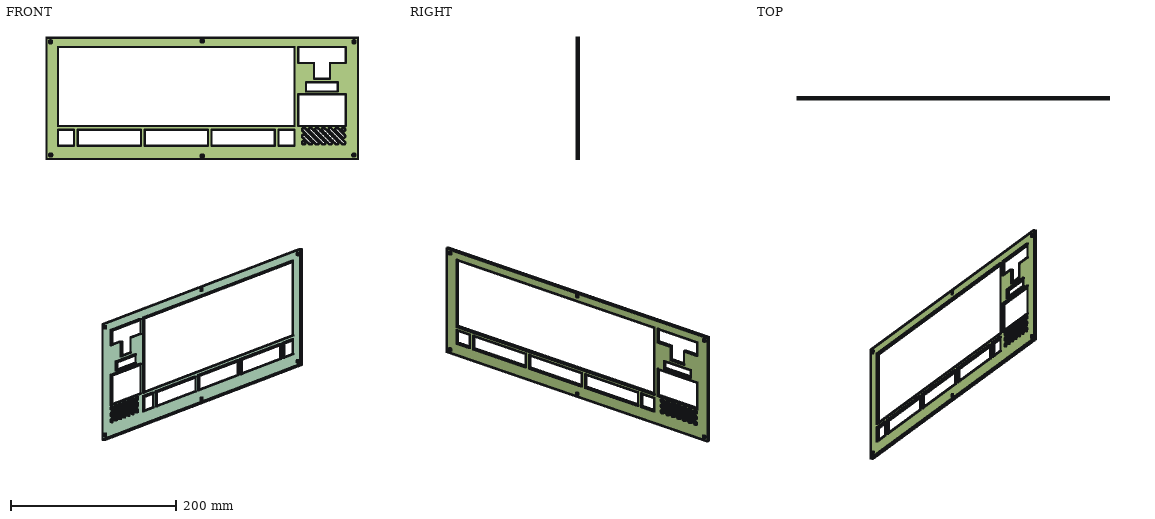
import cadquery as cq
import math

plate_width = 377.0
plate_height = 147.0
plate_thickness = 3.0

key_unit = 19.05
block_gap = key_unit / 4

main_columns = 15
main_rows = 5
left_margin = 14.25
top_margin = 11.4
main_left = left_margin
main_top = plate_height - top_margin
main_width = main_columns * key_unit
main_height = main_rows * key_unit
main_bottom = main_top - main_height

bottom_row_units = [1, 4, 4, 4, 1]
bottom_row_top = main_bottom - block_gap

column_left = main_left + main_width + block_gap
column_keys = 3
column_width = column_keys * key_unit
column_center = column_left + column_width / 2
tee_height = 2 * key_unit
navigation_height = 2 * key_unit
display_width = 2 * key_unit
display_height = 11.0
display_gap = 4.5
display_top = main_top - tee_height - display_gap

vent_width = 4.0
vent_pitch = 8.0
vent_angle = -45
vent_columns = 7
vent_rows = 3
vent_side_gap = 4.6
vent_top_gap = 2.5
vent_left = column_left + vent_side_gap + vent_width / 2
vent_top = main_bottom - vent_top_gap - vent_width / 2

mount_diameter = 3.4
corner_inset = 5.0
middle_inset = 4.0


def cutter(profile):
    """Extrude a closed profile through the full plate thickness (towards +Y)."""
    return profile.extrude(-plate_thickness)


def opening(left, top, width, height):
    """Rectangular cutter given by its upper left corner."""
    center = (left + width / 2, top - height / 2)
    return cutter(cq.Workplane("XZ").center(*center).rect(width, height))


def round_hole(x, z, diameter):
    return cutter(cq.Workplane("XZ").center(x, z).circle(diameter / 2))


def cut_key_openings(plate):
    plate = plate.cut(opening(main_left, main_top, main_width, main_height))
    left = main_left
    for units in bottom_row_units:
        width = units * key_unit
        plate = plate.cut(opening(left, bottom_row_top, width, key_unit))
        left += width + block_gap
    return plate


def cut_right_column(plate):
    plate = plate.cut(opening(column_left, main_top, column_width, key_unit))
    plate = plate.cut(opening(column_center - key_unit / 2, main_top, key_unit, tee_height))
    plate = plate.cut(opening(column_center - display_width / 2, display_top, display_width, display_height))
    return plate.cut(opening(column_left, main_bottom + navigation_height, column_width, navigation_height))


def vent_slot(column, row):
    """Slot running down to the right from a grid point to the grid border."""
    steps = min(vent_columns - 1 - column, vent_rows - 1 - row)
    x = vent_left + column * vent_pitch
    z = vent_top - row * vent_pitch
    if steps == 0:
        return round_hole(x, z, vent_width)
    reach = steps * vent_pitch
    slot_length = reach * math.sqrt(2) + vent_width
    middle = cq.Workplane("XZ").center(x + reach / 2, z - reach / 2)
    return cutter(middle.slot2D(slot_length, vent_width, vent_angle))


def cut_vents(plate):
    top_starts = [(column, 0) for column in range(vent_columns)]
    left_starts = [(0, row) for row in range(1, vent_rows)]
    for column, row in top_starts + left_starts:
        plate = plate.cut(vent_slot(column, row))
    return plate


def cut_mounting_holes(plate):
    columns = [
        (corner_inset, corner_inset),
        (plate_width / 2, middle_inset),
        (plate_width - corner_inset, corner_inset),
    ]
    for x, inset in columns:
        for z in (inset, plate_height - inset):
            plate = plate.cut(round_hole(x, z, mount_diameter))
    return plate


plate = cq.Workplane("XY").box(plate_width, plate_thickness, plate_height, centered=False)
plate = cut_key_openings(plate)
plate = cut_right_column(plate)
plate = cut_vents(plate)
result = cut_mounting_holes(plate)